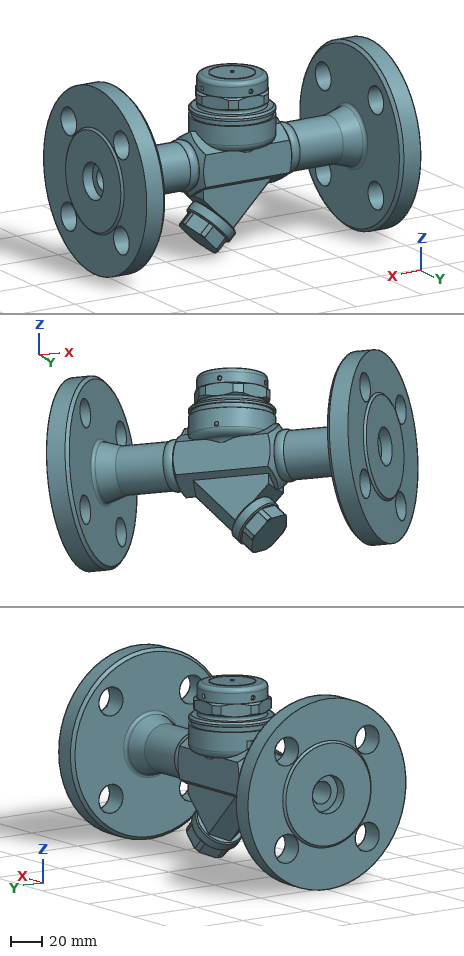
import cadquery as cq
import math

HALF_LENGTH = 105.0

FULL_TURN = 360
QUARTER_ARC_MIDDLE = math.sqrt(0.5)

FLANGE_D = 125.0
RAISED_FACE_D = 70.0
RAISED_FACE_H = 1.5
FLANGE_BACK_X = 88.6
FLANGE_EDGE = 2.0
BOLT_HOLE_D = 19.0
BOLT_CIRCLE_D = 90.0
BOLT_COUNT = 4
FIRST_BOLT_ANGLE = 45.0

PIPE_D = 32.0
HUB_R = 20.4
HUB_END_X = 74.0
HUB_BLEND = 2.0
WELD_D = 34.0
WELD_START_X = 41.4
SOCKET_D = 25.0
SOCKET_DEPTH = 7.4
BORE_D = 15.0

BLOCK_FLATS = 37.5
BLOCK_HALF_LENGTH = 34.9
BLOCK_CHAMFER_R = 16.2
BLOCK_CHAMFER_ANGLE = 30.0

LUG_WIDTH = 10.5
LUG_TOP_Z = 22.7
LUG_FLARE_X = -30.0
LUG_FLARE_R = 2.7

BOWL_D = 56.0
BOWL_FLOOR_Z = 10.7
BOWL_FILLET = 5.0
BOWL_TOP_Z = 28.5
BOWL_FOOT_R = 18.7
BOWL_FOOT_FILLET = 4.0
SEAT_D = 53.0
SEAT_TOP_Z = 32.0
STUD_R = 1.5
STUD_H = 2.5
STUD_Z = 17.8

BRANCH_AXIS_X = -25.0
BRANCH_ANGLE = 45.0
BRANCH_FLATS = 26.5
BRANCH_LENGTH = 53.8
BRANCH_WALL_X = 30.0

PLUG_COLLAR_D = 34.0
PLUG_COLLAR_H = 8.0
PLUG_COLLAR_CHAMFER = 0.8
PLUG_CORNER_D = 32.0
PLUG_FLATS = 29.2
PLUG_HEX_H = 9.7
PLUG_HEX_CHAMFER = 0.5

RING_D = BOWL_D
RING_TOP_Z = 34.9
RING_CHAMFER = 1.5
NECK_D = 45.5
NECK_GROOVE_DEPTH = 0.6
CAP_HEX_Z = 37.8
CAP_HEX_TOP_Z = 46.2
CAP_HEX_FLATS = 46.2
CAP_HEX_CORNER_D = 50.0
CAP_HEX_CHAMFER_R = 1.9
CAP_HEX_CHAMFER_H = 1.3
CAP_D = 45.5
CAP_TOP_Z = 56.3
CAP_FILLET = 3.2
PLATE_D = 30.0
PLATE_H = 0.5
PIN_D = 2.0
PIN_H = 0.6
SPANNER_HOLE_D = 3.0
SPANNER_HOLE_Z = 49.4
SPANNER_HOLE_DEPTH = 1.7
SPANNER_HOLE_COUNT = 4


def hexagon_diameter(flats):
    """Corner-to-corner size of a hexagon from its size across flats."""
    return flats / math.cos(math.radians(30))


def hexagon_with_turned_corners(base, flats, corner_cylinder, height):
    """Hexagon with two flats facing local +Y and -Y, its corners turned to a cylinder."""
    hexagon = base.polygon(6, hexagon_diameter(flats)).extrude(height)
    return hexagon.intersect(corner_cylinder)


def pipe_end():
    """Inlet flange, hub, pipe and weld bead, turned about X, with bolt holes and bore."""
    face_x = -HALF_LENGTH
    flange_x = face_x + RAISED_FACE_H
    flange_r = FLANGE_D / 2
    raised_r = RAISED_FACE_D / 2
    pipe_r = PIPE_D / 2
    weld_middle_x = -(WELD_START_X + BLOCK_HALF_LENGTH) / 2
    blend_x = FLANGE_BACK_X - HUB_BLEND
    blend_r = pipe_r + (HUB_R - pipe_r) * (blend_x - HUB_END_X) / (FLANGE_BACK_X - HUB_END_X)
    turned = (
        cq.Workplane("XY")
        .moveTo(face_x, 0)
        .lineTo(face_x, raised_r - RAISED_FACE_H)
        .lineTo(flange_x, raised_r)
        .lineTo(flange_x, flange_r)
        .lineTo(-FLANGE_BACK_X - FLANGE_EDGE, flange_r)
        .lineTo(-FLANGE_BACK_X, flange_r - FLANGE_EDGE)
        .lineTo(-FLANGE_BACK_X, blend_r + HUB_BLEND)
        .tangentArcPoint((-blend_x, blend_r), relative=False)
        .lineTo(-HUB_END_X, pipe_r)
        .lineTo(-WELD_START_X, pipe_r)
        .threePointArc((weld_middle_x, WELD_D / 2), (-BLOCK_HALF_LENGTH, pipe_r))
        .lineTo(-BLOCK_HALF_LENGTH, 0)
        .close()
        .revolve(FULL_TURN, (0, 0, 0), (1, 0, 0))
    )
    face = cq.Workplane("YZ", origin=(face_x, 0, 0))
    bolt_holes = (
        face.polarArray(BOLT_CIRCLE_D / 2, FIRST_BOLT_ANGLE, FULL_TURN, BOLT_COUNT)
        .circle(BOLT_HOLE_D / 2)
        .extrude(HALF_LENGTH - FLANGE_BACK_X)
    )
    socket = face.circle(SOCKET_D / 2).extrude(SOCKET_DEPTH)
    bore = face.circle(BORE_D / 2).extrude(HALF_LENGTH - BLOCK_HALF_LENGTH)
    return turned.cut(bolt_holes).cut(socket).cut(bore)


def chamfered_barrel():
    """Cylinder about X with conical ends that trims the block and the lug."""
    outer_r = BOWL_D / 2
    cone_length = (outer_r - BLOCK_CHAMFER_R) * math.tan(math.radians(BLOCK_CHAMFER_ANGLE))
    shoulder_x = BLOCK_HALF_LENGTH - cone_length
    return (
        cq.Workplane("XY")
        .moveTo(-BLOCK_HALF_LENGTH, 0)
        .lineTo(-BLOCK_HALF_LENGTH, BLOCK_CHAMFER_R)
        .lineTo(-shoulder_x, outer_r)
        .lineTo(shoulder_x, outer_r)
        .lineTo(BLOCK_HALF_LENGTH, BLOCK_CHAMFER_R)
        .lineTo(BLOCK_HALF_LENGTH, 0)
        .close()
        .revolve(FULL_TURN, (0, 0, 0), (1, 0, 0))
    )


def lug():
    """Lug beside the bowl whose sides flare into the bowl wall."""
    half_width = LUG_WIDTH / 2
    flare_end_x = LUG_FLARE_X + LUG_FLARE_R
    flare_end_y = half_width + LUG_FLARE_R
    arc_step = LUG_FLARE_R * QUARTER_ARC_MIDDLE
    arc_rise = LUG_FLARE_R - arc_step
    return (
        cq.Workplane("XY")
        .moveTo(-BLOCK_HALF_LENGTH, -half_width)
        .lineTo(LUG_FLARE_X, -half_width)
        .threePointArc((LUG_FLARE_X + arc_step, -half_width - arc_rise), (flare_end_x, -flare_end_y))
        .lineTo(0, -flare_end_y)
        .lineTo(0, flare_end_y)
        .lineTo(flare_end_x, flare_end_y)
        .threePointArc((LUG_FLARE_X + arc_step, half_width + arc_rise), (LUG_FLARE_X, half_width))
        .lineTo(-BLOCK_HALF_LENGTH, half_width)
        .close()
        .extrude(LUG_TOP_Z)
    )


def block():
    """Hexagonal block along X with flats facing -Y and +Y, and the lug on top of it."""
    hexagon = (
        cq.Workplane("YZ", origin=(-BLOCK_HALF_LENGTH, 0, 0))
        .transformed(rotate=(0, 0, 90))
        .polygon(6, hexagon_diameter(BLOCK_FLATS))
        .extrude(2 * BLOCK_HALF_LENGTH)
    )
    return hexagon.union(lug()).intersect(chamfered_barrel())


def stud():
    """Pointed stud on the -Y side of the bowl, its root sunk into the bowl wall."""
    base_y = -BOWL_D / 2
    return (
        cq.Workplane("XY")
        .moveTo(0, base_y + STUD_R)
        .lineTo(STUD_R, base_y + STUD_R)
        .lineTo(STUD_R, base_y)
        .lineTo(0, base_y - STUD_H)
        .close()
        .revolve(FULL_TURN, (0, 0, 0), (0, 1, 0))
        .translate((0, 0, STUD_Z))
    )


def bowl():
    """Turned bowl with a rounded floor, a filleted foot and a seat for the cap."""
    bowl_r = BOWL_D / 2
    arc_inset = BOWL_FILLET * (1 - QUARTER_ARC_MIDDLE)
    foot_z = BOWL_FLOOR_Z - BOWL_FOOT_FILLET
    foot_inset = BOWL_FOOT_FILLET * (1 - QUARTER_ARC_MIDDLE)
    turned = (
        cq.Workplane("XZ")
        .moveTo(0, foot_z)
        .lineTo(BOWL_FOOT_R, foot_z)
        .threePointArc(
            (BOWL_FOOT_R + foot_inset, BOWL_FLOOR_Z - foot_inset),
            (BOWL_FOOT_R + BOWL_FOOT_FILLET, BOWL_FLOOR_Z),
        )
        .lineTo(bowl_r - BOWL_FILLET, BOWL_FLOOR_Z)
        .threePointArc(
            (bowl_r - arc_inset, BOWL_FLOOR_Z + arc_inset),
            (bowl_r, BOWL_FLOOR_Z + BOWL_FILLET),
        )
        .lineTo(bowl_r, BOWL_TOP_Z)
        .lineTo(SEAT_D / 2, BOWL_TOP_Z)
        .lineTo(SEAT_D / 2, SEAT_TOP_Z)
        .lineTo(0, SEAT_TOP_Z)
        .close()
        .revolve(FULL_TURN, (0, 0, 0), (0, 1, 0))
    )
    return turned.union(stud())


def branch_plane(distance):
    """Plane across the branch axis, `distance` along it from the pipe axis, local Y towards +Y."""
    angle = math.radians(BRANCH_ANGLE)
    along = (math.cos(angle), 0, -math.sin(angle))
    origin = (BRANCH_AXIS_X + distance * along[0], 0, distance * along[2])
    across = (math.sin(angle), 0, math.cos(angle))
    return cq.Workplane(cq.Plane(origin=origin, xDir=across, normal=along))


def branch():
    """Hexagonal branch with the corner between it and the block filled by a flat-sided web."""
    hexagon = branch_plane(0).polygon(6, hexagon_diameter(BRANCH_FLATS)).extrude(BRANCH_LENGTH)
    end_x = BRANCH_AXIS_X + BRANCH_LENGTH * math.cos(math.radians(BRANCH_ANGLE))
    end_z = -BRANCH_LENGTH * math.sin(math.radians(BRANCH_ANGLE))
    wall_bottom_z = end_z + (BRANCH_WALL_X - end_x)
    web = (
        cq.Workplane("XZ")
        .polyline([
            (BRANCH_AXIS_X, 0),
            (BRANCH_WALL_X, 0),
            (BRANCH_WALL_X, wall_bottom_z),
            (end_x, end_z),
        ])
        .close()
        .extrude(BRANCH_FLATS / 2, both=True)
    )
    return hexagon.union(web)


def plug():
    """Round collar and hexagonal head closing the branch."""
    collar = (
        branch_plane(BRANCH_LENGTH)
        .circle(PLUG_COLLAR_D / 2)
        .extrude(PLUG_COLLAR_H)
        .edges()
        .chamfer(PLUG_COLLAR_CHAMFER)
    )
    head_base = branch_plane(BRANCH_LENGTH + PLUG_COLLAR_H)
    corner_cylinder = (
        head_base.circle(PLUG_CORNER_D / 2)
        .extrude(PLUG_HEX_H)
        .faces(">(1, 0, -1)")
        .chamfer(PLUG_HEX_CHAMFER)
    )
    head = hexagon_with_turned_corners(head_base, PLUG_FLATS, corner_cylinder, PLUG_HEX_H)
    return collar.union(head)


def make_valve_body():
    inlet = pipe_end()
    outlet = inlet.mirror("YZ")
    return block().union(inlet).union(outlet).union(bowl()).union(branch()).union(plug())


def disc(diameter, bottom_z, top_z):
    return cq.Workplane("XY", origin=(0, 0, bottom_z)).circle(diameter / 2).extrude(top_z - bottom_z)


def cap_hexagon():
    """Hexagon with its turned corners chamfered above and below."""
    height = CAP_HEX_TOP_Z - CAP_HEX_Z
    base = cq.Workplane("XY", origin=(0, 0, CAP_HEX_Z))
    corner_cylinder = (
        base.circle(CAP_HEX_CORNER_D / 2)
        .extrude(height)
        .faces("<Z or >Z")
        .chamfer(CAP_HEX_CHAMFER_H, CAP_HEX_CHAMFER_R)
    )
    return hexagon_with_turned_corners(base, CAP_HEX_FLATS, corner_cylinder, height)


def cap_neck():
    """Neck between the ring and the hexagon, waisted by a shallow round groove."""
    middle_z = (RING_TOP_Z + CAP_HEX_Z) / 2
    neck_r = NECK_D / 2
    return (
        cq.Workplane("XZ")
        .moveTo(0, RING_TOP_Z)
        .lineTo(neck_r, RING_TOP_Z)
        .threePointArc((neck_r - NECK_GROOVE_DEPTH, middle_z), (neck_r, CAP_HEX_Z))
        .lineTo(0, CAP_HEX_Z)
        .close()
        .revolve(FULL_TURN, (0, 0, 0), (0, 1, 0))
    )


def make_cap():
    plate_top_z = CAP_TOP_Z + PLATE_H
    ring = disc(RING_D, SEAT_TOP_Z, RING_TOP_Z).faces(">Z").chamfer(RING_CHAMFER)
    crown = disc(CAP_D, CAP_HEX_TOP_Z, CAP_TOP_Z).faces(">Z").edges().fillet(CAP_FILLET)
    plate = disc(PLATE_D, CAP_TOP_Z, plate_top_z)
    pin = disc(PIN_D, plate_top_z, plate_top_z + PIN_H)
    cap = ring.union(cap_neck()).union(cap_hexagon()).union(crown).union(plate).union(pin)
    spanner_hole = (
        cq.Workplane("YZ", origin=(CAP_D / 2 - SPANNER_HOLE_DEPTH, 0, SPANNER_HOLE_Z))
        .circle(SPANNER_HOLE_D / 2)
        .extrude(CAP_D)
    )
    for index in range(SPANNER_HOLE_COUNT):
        turn = index * FULL_TURN / SPANNER_HOLE_COUNT
        cap = cap.cut(spanner_hole.rotate((0, 0, 0), (0, 0, 1), turn))
    return cap


valve_body = make_valve_body()
cap = make_cap()
result = cq.Compound.makeCompound([valve_body.val(), cap.val()])